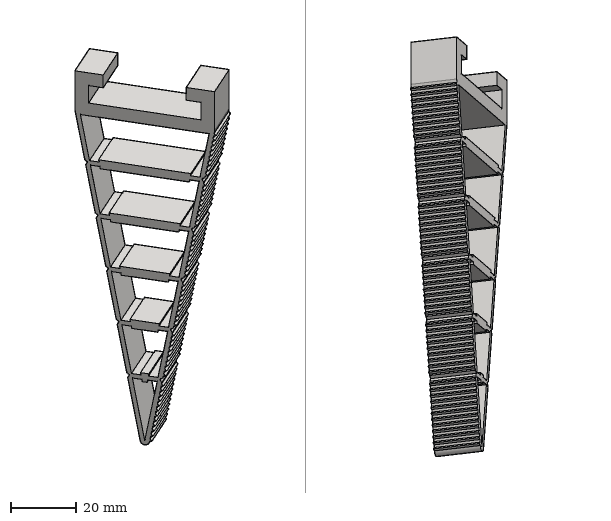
import cadquery as cq
import math

depth = 15.0
total_height = 126.9
half_width = 22.5

channel_wall = 4.5
lip_reach = 9.1
channel_height = 15.0

taper = math.radians(10.6)
tip_radius = 1.5
side_wall = 1.5

rib_count = 5
rib_pitch = 18.0
lowest_rib = 23.5
hinge_thickness = 1.5
rib_thickness = 3.0
hinge_length = 3.0

notch_depth = 0.8
notch_half_width = 0.9

teeth_per_rib = 10
teeth_below_lowest_rib = 12
tooth_height = 0.8
tooth_base = 1.0

apex_z = tip_radius - tip_radius / math.sin(taper)
taper_start = apex_z + half_width / math.tan(taper)
floor_underside = total_height - channel_height
wall_x = side_wall / math.cos(taper)
tooth_pitch = rib_pitch / teeth_per_rib
rib_levels = [lowest_rib + i * rib_pitch for i in range(rib_count)]


def outer_x(z):
    """Half width of the tapered finger at height z."""
    return (z - apex_z) * math.tan(taper)


def extrude(outline):
    """Prism through the full depth from a closed XZ outline, centred on Y."""
    return outline.close().extrude(depth / 2, both=True)


def prism(points):
    """Prism through the full depth from XZ corner points."""
    return extrude(cq.Workplane("XZ").polyline(points))


def on_face(z, along, outward):
    """Point near the +X face: shifted up along the face and outward from it."""
    x = outer_x(z) + along * math.sin(taper) + outward * math.cos(taper)
    return (x, z + along * math.cos(taper) - outward * math.sin(taper))


def bump(z, half_base, peak):
    """Three corners of a tooth, or of a notch when peak is negative, from bottom to top."""
    return [on_face(z, -half_base, 0), on_face(z, 0, peak), on_face(z, half_base, 0)]


def notch(z):
    return bump(z, notch_half_width, -notch_depth)


def toothed_face():
    """Corners up the +X face: evenly pitched teeth, with a notch in place of one at each rib."""
    points = []
    for step in range(-teeth_below_lowest_rib, teeth_per_rib * rib_count):
        z = lowest_rib + step * tooth_pitch
        if step >= 0 and step % teeth_per_rib == 0:
            points += notch(z)
        else:
            points += bump(z, tooth_base / 2, tooth_height)
    return points


def notched_face():
    """Corners down the -X face, plain except for the notches."""
    points = []
    for z in rib_levels:
        points += [(-x, point_z) for x, point_z in notch(z)]
    return points[::-1]


def solid_finger():
    """Outer shape, with the side faces tangent to the tip arc."""
    tangent_x = tip_radius * math.cos(taper)
    tangent_z = tip_radius * (1 - math.sin(taper))
    edge = toothed_face()
    edge += [(half_width, taper_start), (half_width, total_height)]
    edge += [(-half_width, total_height), (-half_width, taper_start)]
    edge += notched_face()
    edge += [(-tangent_x, tangent_z)]
    outline = (
        cq.Workplane("XZ")
        .moveTo(-tangent_x, tangent_z)
        .threePointArc((0, 0), (tangent_x, tangent_z))
        .polyline(edge, includeCurrent=True)
    )
    return extrude(outline)


def channel():
    """T-shaped opening between the two hooked lips."""
    slot_x = half_width - channel_wall
    mouth_x = half_width - lip_reach
    lip_z = total_height - channel_wall
    floor_z = floor_underside + channel_wall
    return prism([
        (-mouth_x, total_height),
        (-mouth_x, lip_z),
        (-slot_x, lip_z),
        (-slot_x, floor_z),
        (slot_x, floor_z),
        (slot_x, lip_z),
        (mouth_x, lip_z),
        (mouth_x, total_height),
    ])


def cavity():
    """Space between the side walls, pointed at the bottom."""
    bottom_z = apex_z + wall_x / math.tan(taper)
    top_x = outer_x(floor_underside) - wall_x
    return prism([(-top_x, floor_underside), (0, bottom_z), (top_x, floor_underside)])


def rib_layer(z, thickness, inset):
    """Bar centred on height z whose ends run parallel to the outer faces, inset along X."""
    low_z = z - thickness / 2
    high_z = z + thickness / 2
    low_x = outer_x(low_z) - inset
    high_x = outer_x(high_z) - inset
    return prism([(-low_x, low_z), (low_x, low_z), (high_x, high_z), (-high_x, high_z)])


def rib(z):
    """Thin web joining the side walls, with a thicker middle."""
    web = rib_layer(z, hinge_thickness, wall_x)
    middle = rib_layer(z, rib_thickness, wall_x + hinge_length)
    return web.union(middle)


openings = cavity()
for level in rib_levels:
    openings = openings.cut(rib(level))

result = solid_finger().cut(channel()).cut(openings)